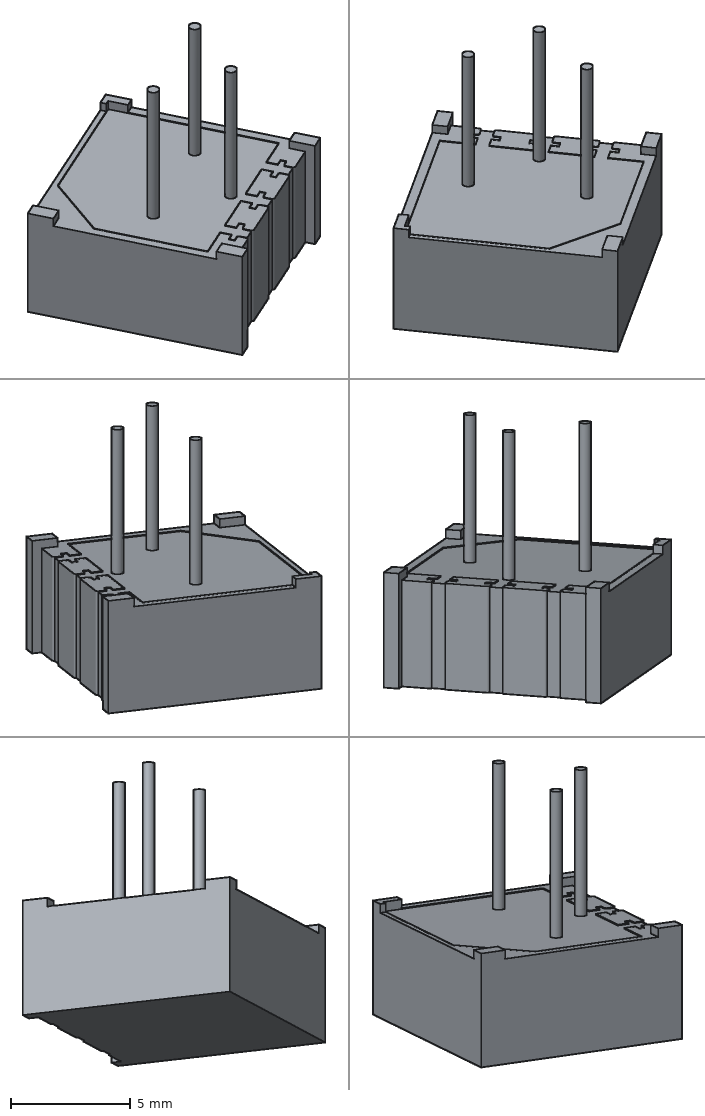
import cadquery as cq

side = 9.58
total_height = 10.9
post_top = 4.96
deck_height = 4.58
pitch = 2.54

post_x = 1.15
post_y = 0.66

pin_diameter = 0.51
pin_places = [(0, pitch), (pitch, 0), (0, -pitch)]

tab_face_x = 4.36
gap_face_x = 4.275

pocket_depth = 0.04
pocket_left = -4.52
pocket_right = 3.09
pocket_half_y = 4.36
pocket_chamfer = pitch

channel_places = [-pitch, 0, pitch]
channel_half_width = 0.288
slot_start_x = 3.6
slot_end_x = 3.86
slot_half_length = 0.64
tab_corner_radius = 0.1

half = side / 2
pocket_floor = deck_height - pocket_depth


def make_case():
    """Square block with four corner posts and a recessed +X face."""
    case = cq.Workplane("XY").box(side, side, deck_height, centered=(True, True, False))
    posts = (
        cq.Workplane("XY")
        .rarray(side - post_x, side - post_y, 2, 2)
        .rect(post_x, post_y)
        .extrude(post_top)
    )
    recess_depth = half - tab_face_x
    recess = (
        cq.Workplane("XY")
        .center(half - recess_depth / 2, 0)
        .rect(recess_depth, side - 2 * post_y)
        .extrude(post_top)
    )
    return case.union(posts).cut(recess)


def make_pocket():
    """Pocket with one cut-off corner, tall enough to trim the post it overlaps."""
    return (
        cq.Workplane("XY")
        .workplane(offset=pocket_floor)
        .moveTo(pocket_left, pocket_half_y)
        .lineTo(pocket_right, pocket_half_y)
        .lineTo(pocket_right, -pocket_half_y)
        .lineTo(pocket_left + pocket_chamfer, -pocket_half_y)
        .lineTo(pocket_left, -pocket_half_y + pocket_chamfer)
        .close()
        .extrude(post_top - pocket_floor)
    )


def make_channel(y, floor):
    """Channel along X from a floor height to the deck, with a cross slot and rounded tab corners."""
    r = tab_corner_radius
    w = channel_half_width
    outline = (
        cq.Workplane("XY")
        .workplane(offset=floor)
        .center(0, y)
        .moveTo(pocket_right, -w)
        .lineTo(slot_start_x, -w)
        .lineTo(slot_start_x, -slot_half_length)
        .lineTo(slot_end_x, -slot_half_length)
        .lineTo(slot_end_x, -w - r)
        .radiusArc((slot_end_x + r, -w), r)
        .lineTo(tab_face_x - r, -w)
        .radiusArc((tab_face_x, -w - r), r)
        .lineTo(tab_face_x, w + r)
        .radiusArc((tab_face_x - r, w), r)
        .lineTo(slot_end_x + r, w)
        .radiusArc((slot_end_x, w + r), r)
        .lineTo(slot_end_x, slot_half_length)
        .lineTo(slot_start_x, slot_half_length)
        .lineTo(slot_start_x, w)
        .lineTo(pocket_right, w)
        .close()
    )
    return outline.extrude(deck_height - floor)


def make_gap(y):
    """Full-height groove in the +X face, as wide as the channel mouth it meets."""
    beyond_gap_face = (
        cq.Workplane("XY")
        .box(half - gap_face_x, side, deck_height, centered=(False, True, False))
        .translate((gap_face_x, 0, 0))
    )
    return make_channel(y, 0).intersect(beyond_gap_face)


def make_pin(x, y):
    """Round pin rising from the pocket floor."""
    return (
        cq.Workplane("XY")
        .workplane(offset=pocket_floor)
        .center(x, y)
        .circle(pin_diameter / 2)
        .extrude(total_height - pocket_floor)
    )


result = make_case().cut(make_pocket())
for channel_y in channel_places:
    result = result.cut(make_channel(channel_y, pocket_floor))
    result = result.cut(make_gap(channel_y))
for pin_x, pin_y in pin_places:
    result = result.union(make_pin(pin_x, pin_y))